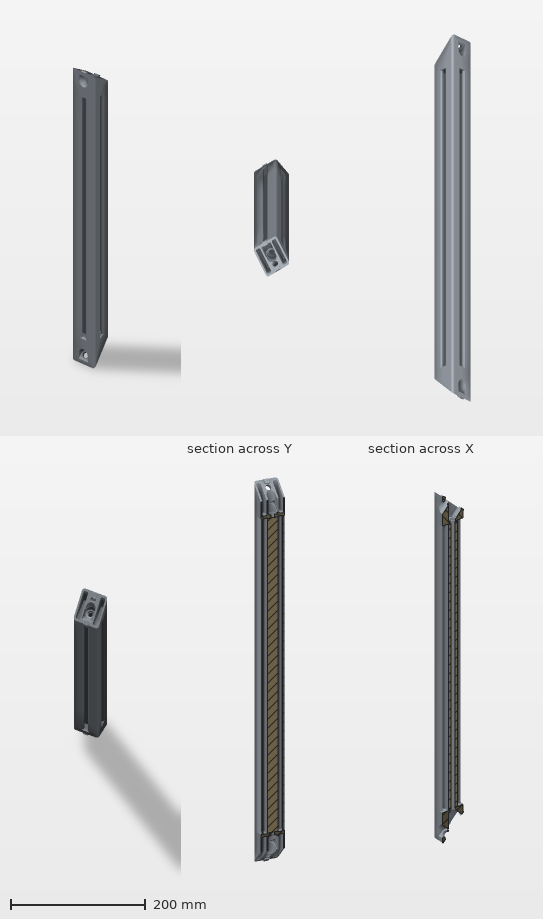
import cadquery as cq
import math

total_length = 607.0
side = 40.0
corner_radius = 4.0
profile_length = 500.0

groove_mouth = 11.5
groove_neck = 7.0
slope_depth = 1.5
lip_depth = 4.0
undercut_width = 17.0
groove_depth = 11.0
core_bore_diameter = 6.5

tab_width = 8.0
tab_length = 7.0
tab_height = 2.1
tab_inset = 0.3

clearance_diameter = 9.0
mitre_plate = 5.5
joint_screw_y = -10.5
seat_width = 16.0

head_diameter = 14.5
cap_floor = 5.0
relief_back = 16.5
relief_length = 19.5
relief_fillet = 2.0

pocket_width = 7.0
pocket_x = 13.65
pocket_front = -17.0
pocket_back = 17.0
pocket_fillet = 2.0

half = side / 2
mitre_factor = math.sqrt(0.5)
joint_z = profile_length / 2
tip_z = total_length / 2 - (tab_height - tab_inset) * mitre_factor
floor_z = joint_z + cap_floor
seat_reach = side


def rounded_bar(bottom, length):
    """Square bar with rounded long edges, standing along Z."""
    bar = cq.Workplane("XY", origin=(0, 0, bottom)).rect(side, side).extrude(length)
    return bar.edges("|Z").fillet(corner_radius)


def mitre_plane(y, depth=0.0):
    """Plane on the 45 degree face at the given Y, moved inwards by depth; its local Y points to the tip."""
    sink = depth * mitre_factor
    z = tip_z - half - y
    return cq.Plane(origin=(0, y - sink, z - sink), xDir=(-1, 0, 0), normal=(0, 1, 1))


def make_profile():
    bar = rounded_bar(-joint_z, profile_length)
    groove = (
        cq.Workplane("XY", origin=(0, -half, -joint_z))
        .moveTo(0, 0)
        .lineTo(groove_mouth / 2, 0)
        .lineTo(groove_neck / 2, slope_depth)
        .lineTo(groove_neck / 2, lip_depth)
        .lineTo(undercut_width / 2, lip_depth)
        .lineTo(undercut_width / 2, groove_depth)
        .lineTo(0, groove_depth)
        .mirrorY()
        .extrude(profile_length)
    )
    for angle in (0, 90, 180, 270):
        bar = bar.cut(groove.rotate((0, 0, 0), (0, 0, 1), angle))
    return bar.faces(">Z").workplane().hole(core_bore_diameter)


def mitred_block():
    """Cap blank: long at the front, cut at 45 degrees down to the back."""
    block = rounded_bar(joint_z, tip_z - joint_z)
    above_mitre = cq.Workplane(mitre_plane(0)).rect(2 * side, 4 * side).extrude(2 * side)
    return block.cut(above_mitre)


def locating_tabs():
    """Two tabs on the mitred face, near its front and back ends."""
    reach = half / mitre_factor - tab_inset - tab_length / 2
    return (
        cq.Workplane(mitre_plane(0))
        .pushPoints([(0, reach), (0, -reach)])
        .rect(tab_width, tab_length)
        .extrude(tab_height)
    )


def joint_screw_cut():
    """Clearance hole through the mitred face and its U-shaped head recess, open to the front."""
    hole = (
        cq.Workplane(mitre_plane(joint_screw_y, mitre_plate))
        .circle(clearance_diameter / 2)
        .extrude(mitre_plate + 2 * tab_height)
    )
    seat = cq.Workplane(mitre_plane(joint_screw_y, mitre_plate))
    round_end = seat.circle(seat_width / 2).extrude(-seat_reach)
    open_end = seat.center(0, seat_reach / 2).rect(seat_width, seat_reach).extrude(-seat_reach)
    return hole.union(round_end).union(open_end)


def core_screw_cut():
    """Clearance hole and head recess along Z."""
    hole = cq.Workplane("XY", origin=(0, 0, joint_z)).circle(clearance_diameter / 2).extrude(cap_floor)
    head = cq.Workplane("XY", origin=(0, 0, floor_z)).circle(head_diameter / 2).extrude(side)
    return hole.union(head)


def relief_cut():
    """Recess square to the mitred face whose sloping back wall runs down to the head recess floor."""
    edge = mitre_plane(relief_back)
    depth = (edge.origin.z - floor_z) / mitre_factor
    relief = (
        cq.Workplane(edge)
        .center(0, relief_length / 2)
        .rect(seat_width, relief_length)
        .extrude(-depth)
    )
    back_corners = cq.selectors.DirectionMinMaxSelector(cq.Vector(0, 1, -1), True)
    return relief.faces(back_corners).edges("not |X").fillet(relief_fillet)


def side_pockets():
    pocket = (
        cq.Workplane("XY", origin=(0, (pocket_front + pocket_back) / 2, floor_z))
        .pushPoints([(-pocket_x, 0), (pocket_x, 0)])
        .rect(pocket_width, pocket_back - pocket_front)
        .extrude(side * 2)
    )
    return pocket.edges("|Z or <Z").fillet(pocket_fillet)


def make_cap():
    cap = mitred_block().union(locating_tabs())
    for cut in (joint_screw_cut(), core_screw_cut(), relief_cut(), side_pockets()):
        cap = cap.cut(cut)
    return cap


profile = make_profile()
top_cap = make_cap()
bottom_cap = top_cap.mirror("XY")

result = cq.Compound.makeCompound([profile.val(), *top_cap.vals(), *bottom_cap.vals()])